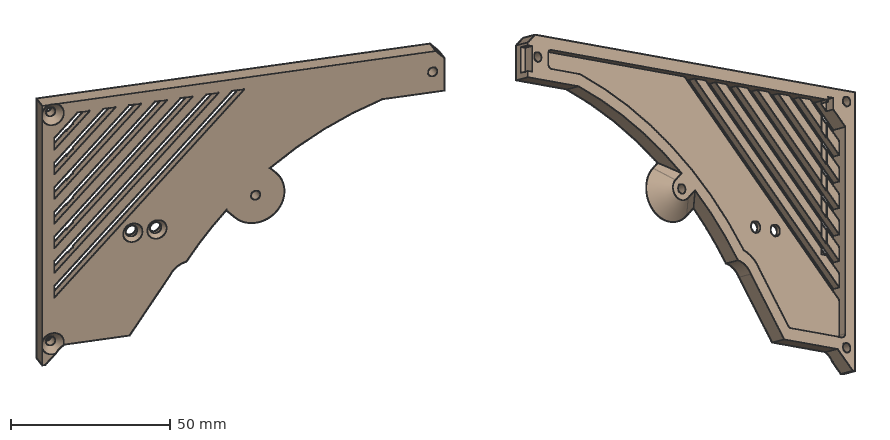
import cadquery as cq
import math

THICKNESS = 6.0
LENGTH = 133.0
HEIGHT = 89.6

ARM_BOTTOM = 75.5
ARM_CHAMFER = 2.9
ARCH_START = (112.4, ARM_BOTTOM)
ARCH_MIDDLE = (75.8, 57.6)
ARCH_END = (47.6, 28.9)
RELIEF_MIDDLE = (44.5, 27.7)
RELIEF_END = (42.4, 25.3)
FOOT_BOTTOM = 6.1
FOOT_END = 28.9
EAR_TOP_Y = 7.2
EAR_TIP = 0.9

RIM = 4.0
POCKET_DEPTH = 3.0
POCKET_END = 124.8
POCKET_FILLET = 1.5
CORNER_LEG = 7.7

SLOT_COUNT = 7
SLOT_PITCH = 8.5
SLOT_HEIGHT = 4.0

GROOVE_DEPTH = 3.5
GROOVE_Y = (8.9, 11.0)
GROOVE_Z = (36.6, 86.6)
NOTCH_LENGTH = 1.7
NOTCH_Z = (77.5, 85.8)

SCREW_HOLE = 3.0
EDGE_OFFSET = 3.5
EDGE_HOLES = ((EDGE_OFFSET, 7.0), (EDGE_OFFSET, 86.2))
EDGE_BREAKOUT = 0.2
EDGE_HEAD_RADIUS = EDGE_OFFSET + EDGE_BREAKOUT
ARM_HOLE = (129.0, 82.6)
PAIR_HOLE = 3.7
PAIR_HEAD_RADIUS = 3.2
PAIR_HOLES = ((29.9, 41.5), (37.9, 41.5))

BOSS_CENTER = (70.5, 48.5)
BOSS_TIP_RADIUS = 3.6
BOSS_BASE_RADIUS = 9.6
BOSS_REACH = 9.3


def core_outline(end_y):
    """Bracket outline without the arm chamfer and the foot ear, ending at end_y along the arm."""
    return (
        cq.Workplane("YZ")
        .moveTo(0, HEIGHT)
        .lineTo(0, FOOT_BOTTOM)
        .lineTo(FOOT_END, FOOT_BOTTOM)
        .lineTo(*RELIEF_END)
        .threePointArc(RELIEF_MIDDLE, ARCH_END)
        .threePointArc(ARCH_MIDDLE, ARCH_START)
        .lineTo(end_y, ARM_BOTTOM)
        .lineTo(end_y, HEIGHT)
        .close()
    )


def block(depth, y_range, z_range):
    """Box of the given depth from the detailed face."""
    y_size = y_range[1] - y_range[0]
    z_size = z_range[1] - z_range[0]
    corner = (0, y_range[0], z_range[0])
    return cq.Workplane("XY", origin=corner).box(depth, y_size, z_size, centered=False)


def prism(points):
    """Straight prism through the full thickness."""
    return cq.Workplane("YZ").polyline(points).close().extrude(THICKNESS)


def plate():
    """Full-thickness bracket with its arm chamfer and pointed foot ear."""
    body = core_outline(LENGTH).extrude(THICKNESS)
    body = body.edges("|X and >Y and >Z").chamfer(ARM_CHAMFER)
    ear = prism([(0, 0), (EAR_TIP, 0), (EAR_TOP_Y, FOOT_BOTTOM), (0, FOOT_BOTTOM)])
    return body.union(ear)


def boss():
    """Tapered slot shape running from the screw hole up into the arch at 45 degrees."""
    taper = math.degrees(math.atan((BOSS_BASE_RADIUS - BOSS_TIP_RADIUS) / THICKNESS))
    half_step = BOSS_REACH / 2 * math.sqrt(0.5)
    return (
        cq.Workplane("YZ", origin=(THICKNESS, 0, 0))
        .center(BOSS_CENTER[0] - half_step, BOSS_CENTER[1] + half_step)
        .slot2D(BOSS_REACH + 2 * BOSS_BASE_RADIUS, 2 * BOSS_BASE_RADIUS, -45)
        .extrude(-THICKNESS, taper=taper)
    )


def pocket():
    """Recess that leaves an even rim, with rounded corners and a cut-off upper rear corner."""
    shape = core_outline(POCKET_END + RIM).offset2D(-RIM, "intersection").extrude(POCKET_DEPTH)
    shape = shape.edges("|X and (>Y or <Z)").fillet(POCKET_FILLET)
    return shape.edges("|X and <Y and >Z").chamfer(CORNER_LEG)


def slots():
    """Parallel 45 degree slots between the top rim and the rear rim, nearest the corner first."""
    cutter = cq.Workplane("YZ")
    top = HEIGHT - RIM
    for i in range(SLOT_COUNT):
        near = CORNER_LEG + i * SLOT_PITCH
        far = near + SLOT_HEIGHT
        points = [(RIM + near, top), (RIM + far, top), (RIM, top - far), (RIM, top - near)]
        cutter = cutter.add(prism(points))
    return cutter.combine()


def hole(center, diameter):
    """Round hole through the full thickness."""
    return cq.Workplane("YZ").center(*center).circle(diameter / 2).extrude(THICKNESS)


def countersink(center, radius):
    """45 degree cone opening to the given radius at the back of the plate."""
    apex = cq.Vector(THICKNESS - radius, *center)
    return cq.Workplane(cq.Solid.makeCone(0, radius, radius, apex, cq.Vector(1, 0, 0)))


result = plate().union(boss()).cut(pocket()).cut(slots())
result = result.cut(block(GROOVE_DEPTH, GROOVE_Y, GROOVE_Z))
result = result.cut(block(GROOVE_DEPTH, (LENGTH - NOTCH_LENGTH, LENGTH), NOTCH_Z))

for hole_center in (*EDGE_HOLES, ARM_HOLE, BOSS_CENTER):
    result = result.cut(hole(hole_center, SCREW_HOLE))
for hole_center in EDGE_HOLES:
    result = result.cut(countersink(hole_center, EDGE_HEAD_RADIUS))
for hole_center in PAIR_HOLES:
    result = result.cut(hole(hole_center, PAIR_HOLE))
    result = result.cut(countersink(hole_center, PAIR_HEAD_RADIUS))